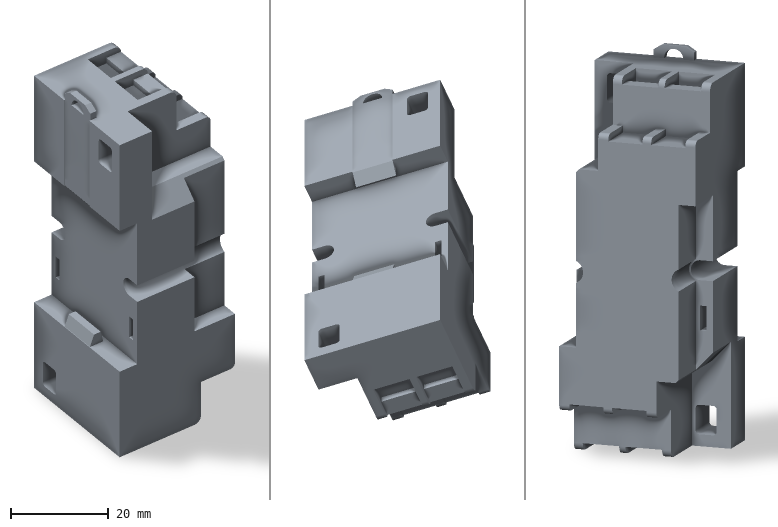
import cadquery as cq


WIDTH = 29.72
DEPTH = 29.21
HEIGHT = 79.33
TIER_DEPTH = 20.58
TIER_HEIGHT = 10.2
TIER_ROUND = 1.6
FRONT_ROUND = 1.2
MID_X = WIDTH / 2
MID_Z = HEIGHT / 2

RAIL_DEPTH = 4.45
RAIL_BOTTOM = 21.75
RAIL_TOP = 57.55
HOOK_WIDTH = 8.75
HOOK_HEIGHT = 2.7
HOOK_BACK = 0.1
HOOK_FRONT = 3.5
HOOK_TIP_BACK = 1.15
HOOK_TIP_FRONT = 2.85

NOTCH_WIDTH = 8.5
NOTCH_BACK = 8.2
NOTCH_FLAT_Z = 18.05
NOTCH_EDGE_Z = 22.5
NOTCH_SLOPE_WIDTH = 4.3

SIDE_BACK = 18.95
SIDE_DEPTH = 3.65
SIDE_BOTTOM = 18.7
SIDE_TOP = 55.55

GROOVE_WIDTH = 4.2
GROOVE_REACH = 4.8
FRONT_GROOVE_WIDTH = 5.0

SLIT_WIDTH = 1.35
SLIT_HEIGHT = 5.25
SLIT_X = 2.1
SLIT_Z = 29.6

HOLE_WIDTH = 4.6
HOLE_HEIGHT = 6.2
HOLE_ROUND = 0.8
LOWER_HOLE_X = 5.4
UPPER_HOLE_X = 24.75
HOLE_Z = 5.6

POCKET_PITCH = 9.35
POCKET_COLUMNS = 2
POCKET_FIRST_X = 5.93
UPPER_POCKET_WIDTH = 7.95
UPPER_POCKET_BACK = 12.2
UPPER_POCKET_DEPTH = 1.65
WELL_FRONT = 16.9
WELL_DEPTH = 3.05
LOWER_POCKET_WIDTH = 7.45
LOWER_POCKET_DEPTH = 1.5

CLIP_WIDTH = HOOK_WIDTH
CLIP_BACK = 0.2
CLIP_FRONT = 1.75
CLIP_TOP = 82.12
CLIP_CORNER_WIDTH = 1.8
CLIP_CORNER_HEIGHT = 1.1
CLIP_HOOK_FRONT = 2.2
CLIP_HOOK_DROP = 2.55
CLIP_EYE_RADIUS = 2.1


def box(x0, x1, y0, y1, z0, z1):
    """Block between two corners."""
    return cq.Workplane("XY").box(x1 - x0, y1 - y0, z1 - z0, centered=False).translate((x0, y0, z0))


def along_x(x0, x1, outline):
    """Prism along X from an outline of (Y, Z) points."""
    return cq.Workplane("YZ").workplane(offset=x0).polyline(outline).close().extrude(x1 - x0)


def turned(body):
    """Copy turned half a turn about the front-to-back axis through the housing centre."""
    return body.rotate((MID_X, 0, MID_Z), (MID_X, 1, MID_Z), 180)


def housing_blank():
    blank = along_x(0, WIDTH, [
        (0, 0),
        (TIER_DEPTH, 0),
        (TIER_DEPTH, TIER_HEIGHT),
        (DEPTH, TIER_HEIGHT),
        (DEPTH, HEIGHT - TIER_HEIGHT),
        (TIER_DEPTH, HEIGHT - TIER_HEIGHT),
        (TIER_DEPTH, HEIGHT),
        (0, HEIGHT),
        (0, RAIL_TOP),
        (RAIL_DEPTH, RAIL_TOP),
        (RAIL_DEPTH, RAIL_BOTTOM),
        (0, RAIL_BOTTOM),
    ])
    for y, inset, radius in ((TIER_DEPTH, 0, TIER_ROUND), (DEPTH, TIER_HEIGHT, FRONT_ROUND)):
        for z in (inset, HEIGHT - inset):
            corner = cq.selectors.NearestToPointSelector((MID_X, y, z))
            blank = blank.edges("|X").edges(corner).fillet(radius)
    return blank


def fixed_hook():
    return along_x(MID_X - HOOK_WIDTH / 2, MID_X + HOOK_WIDTH / 2, [
        (HOOK_BACK, RAIL_BOTTOM),
        (HOOK_FRONT, RAIL_BOTTOM),
        (HOOK_TIP_FRONT, RAIL_BOTTOM + HOOK_HEIGHT),
        (HOOK_TIP_BACK, RAIL_BOTTOM + HOOK_HEIGHT),
    ])


def corner_notch():
    """Notch at the bottom -X corner, with a roof that rises towards the side."""
    outline = [
        (0, 0),
        (NOTCH_WIDTH, 0),
        (NOTCH_WIDTH, NOTCH_FLAT_Z),
        (NOTCH_SLOPE_WIDTH, NOTCH_FLAT_Z),
        (0, NOTCH_EDGE_Z),
    ]
    notch = cq.Workplane("XZ").polyline(outline).close().extrude(-(DEPTH - NOTCH_BACK))
    return notch.translate((0, NOTCH_BACK, 0))


def side_recess():
    return box(0, SIDE_DEPTH, SIDE_BACK, DEPTH, SIDE_BOTTOM, SIDE_TOP)


def side_groove(width):
    """Round-ended groove along Y, open to the -X side."""
    end_x = GROOVE_REACH - GROOVE_WIDTH / 2
    return (
        cq.Workplane("XZ")
        .center(0, MID_Z)
        .slot2D(2 * end_x + width, width)
        .extrude(-DEPTH)
    )


def side_cuts():
    front_groove = side_groove(FRONT_GROOVE_WIDTH).intersect(box(0, MID_X, SIDE_BACK, DEPTH, 0, HEIGHT))
    return side_recess().union(side_groove(GROOVE_WIDTH)).union(front_groove)


def slit(x):
    return box(x - SLIT_WIDTH / 2, x + SLIT_WIDTH / 2, 0, DEPTH,
               SLIT_Z - SLIT_HEIGHT / 2, SLIT_Z + SLIT_HEIGHT / 2)


def mounting_hole(x, z):
    hole = cq.Workplane("XZ").center(x, z).rect(HOLE_WIDTH, HOLE_HEIGHT).extrude(-DEPTH)
    return hole.edges("|Y").fillet(HOLE_ROUND)


def terminal_pockets(x):
    """Pockets of one terminal column in the top of both tiers."""
    upper_left = x - UPPER_POCKET_WIDTH / 2
    upper_right = x + UPPER_POCKET_WIDTH / 2
    upper = box(upper_left, upper_right, UPPER_POCKET_BACK, TIER_DEPTH, HEIGHT - UPPER_POCKET_DEPTH, HEIGHT)
    well = box(upper_left, upper_right, UPPER_POCKET_BACK, WELL_FRONT, HEIGHT - WELL_DEPTH, HEIGHT)
    tier_top = HEIGHT - TIER_HEIGHT
    lower = box(x - LOWER_POCKET_WIDTH / 2, x + LOWER_POCKET_WIDTH / 2, TIER_DEPTH, DEPTH,
                tier_top - LOWER_POCKET_DEPTH, tier_top)
    return upper.union(well).union(lower)


def clip_blank():
    """Rail clip: a strip with a hook at its lower end and a chamfered tab at its top."""
    strip = along_x(MID_X - CLIP_WIDTH / 2, MID_X + CLIP_WIDTH / 2, [
        (CLIP_BACK, CLIP_TOP),
        (CLIP_BACK, RAIL_TOP),
        (CLIP_HOOK_FRONT, RAIL_TOP - CLIP_HOOK_DROP),
        (CLIP_HOOK_FRONT, RAIL_TOP),
        (CLIP_FRONT, RAIL_TOP),
        (CLIP_FRONT, CLIP_TOP),
    ])
    half = CLIP_WIDTH / 2
    tab = (
        cq.Workplane("XZ")
        .moveTo(MID_X - half, 0)
        .lineTo(MID_X + half, 0)
        .lineTo(MID_X + half, CLIP_TOP - CLIP_CORNER_HEIGHT)
        .lineTo(MID_X + half - CLIP_CORNER_WIDTH, CLIP_TOP)
        .lineTo(MID_X - half + CLIP_CORNER_WIDTH, CLIP_TOP)
        .lineTo(MID_X - half, CLIP_TOP - CLIP_CORNER_HEIGHT)
        .close()
        .extrude(-DEPTH)
    )
    return strip.intersect(tab)


def clip_eye():
    """Half-round eye in the tab, flat side on the housing top."""
    return (
        cq.Workplane("XZ")
        .moveTo(MID_X - CLIP_EYE_RADIUS, HEIGHT)
        .threePointArc((MID_X, HEIGHT + CLIP_EYE_RADIUS), (MID_X + CLIP_EYE_RADIUS, HEIGHT))
        .close()
        .extrude(-DEPTH)
    )


def clip_channel():
    half = CLIP_WIDTH / 2
    return box(MID_X - half, MID_X + half, 0, CLIP_FRONT, RAIL_TOP, HEIGHT)


housing = housing_blank().union(fixed_hook())
for cut in (corner_notch(), side_cuts()):
    housing = housing.cut(cut).cut(turned(cut))
for hole_x, hole_z in ((LOWER_HOLE_X, HOLE_Z), (UPPER_HOLE_X, HEIGHT - HOLE_Z)):
    housing = housing.cut(mounting_hole(hole_x, hole_z))
for slit_x in (SLIT_X, WIDTH - SLIT_X):
    housing = housing.cut(slit(slit_x))
for column in range(POCKET_COLUMNS):
    pockets = terminal_pockets(POCKET_FIRST_X + column * POCKET_PITCH)
    housing = housing.cut(pockets).cut(turned(pockets))
housing = housing.cut(clip_channel())

clip = clip_blank().cut(clip_eye())

result = cq.Compound.makeCompound([housing.val(), clip.val()])